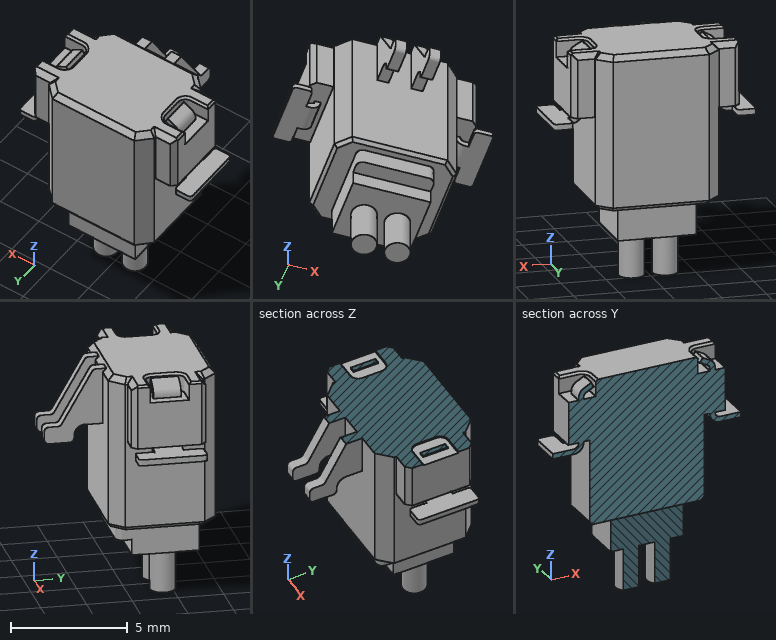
import cadquery as cq
import math


housing_width = 5.5
housing_depth = 4.7
housing_height = 6.92
corner_chamfer = 0.61
top_chamfer = 0.26
bottom_chamfer = 0.16

flange_length = 7.49
flange_depth = 3.27
flange_height = 2.86
flange_corner_chamfer = 0.24
flange_end_chamfer = 0.09

pocket_width = 1.7
pocket_depth = 0.8
pocket_inner_x = 2.44
pocket_corner_radius = 0.38
pocket_chamfer = 0.1

clip_span = 9.0
clip_thickness = 0.27
foot_bend_radius = 0.23
neck_width = 1.26
strap_bend_radius = 0.2
strap_width = 1.21
strap_outer_x = 3.27
strap_lean = 62.0
strap_bend_start_z = -0.7
strap_tip_length = 0.42
foot_length = 0.85
foot_width = 3.0
foot_corner_radius = 0.15
foot_bottom_z = -3.36

contact_pitch = 1.53
contact_width = 0.51
contact_top_z = -0.09
contact_shoulder_y = -2.76
contact_slope = 60.0
contact_underside_z = -2.59
contact_heel_y = -3.59
contact_tip_y = -4.9
contact_embed = 0.62
contact_radius = 0.2
contact_throat_radius = 0.47

plug_width = 3.48
plug_back_y = 1.73
plug_front_y = -1.23
plug_bottom_z = -8.42
ledge_front_y = -1.91
ledge_bottom_z = -7.72
ledge_radius = 0.3
wire_diameter = 1.12
wire_pitch = 1.5
wire_y = 0.32
wire_bottom_z = -10.4


def mirrored_in_x(half):
    return half.union(half.mirror("YZ"))


def make_housing_block():
    block = cq.Workplane("XY").box(
        housing_width, housing_depth, housing_height, centered=(True, True, False)
    )
    block = block.translate((0, 0, -housing_height))
    block = block.edges("|Z").chamfer(corner_chamfer)
    block = block.faces(">Z").edges().chamfer(top_chamfer)
    return block.faces("<Z").edges().chamfer(bottom_chamfer)


def make_flange():
    flange = cq.Workplane("XY").box(
        flange_length, flange_depth, flange_height, centered=(True, True, False)
    )
    flange = flange.translate((0, 0, -flange_height))
    flange = flange.edges("|Z").chamfer(flange_corner_chamfer)
    bevels = ((flange_length, flange_end_chamfer, "XZ"), (flange_depth, top_chamfer, "YZ"))
    for span, bevel, plane in bevels:
        half = span / 2
        bevel_outline = [
            (-half, -flange_height),
            (half, -flange_height),
            (half, -bevel),
            (half - bevel, 0),
            (bevel - half, 0),
            (-half, -bevel),
        ]
        prism = cq.Workplane(plane).polyline(bevel_outline).close().extrude(flange_length, both=True)
        flange = flange.intersect(prism)
    return flange


def make_pocket():
    length = flange_length / 2
    pocket = (
        cq.Workplane("XY")
        .box(length, pocket_width, pocket_depth, centered=(False, True, False))
        .translate((pocket_inner_x, 0, -pocket_depth))
        .edges("|Z and <X")
        .fillet(pocket_corner_radius)
    )
    rim_inner_x = pocket_inner_x - pocket_chamfer
    rim_top = (
        cq.Sketch()
        .rect(length, pocket_width + 2 * pocket_chamfer)
        .vertices("<X")
        .fillet(pocket_corner_radius + pocket_chamfer)
    )
    rim = (
        cq.Workplane("XY", origin=(rim_inner_x + length / 2, 0, 0))
        .placeSketch(rim_top)
        .extrude(-pocket_chamfer, taper=45)
    )
    return mirrored_in_x(pocket.union(rim))


def make_clip():
    strap_x = strap_outer_x - clip_thickness / 2
    foot_z = foot_bottom_z + clip_thickness / 2
    foot_inner_x = clip_span / 2 - foot_length

    foot_bend = foot_bend_radius + clip_thickness / 2
    neck_start_x = foot_inner_x + foot_corner_radius
    neck_path = (
        cq.Workplane("XZ")
        .moveTo(neck_start_x, foot_z)
        .lineTo(strap_x + foot_bend, foot_z)
        .radiusArc((strap_x, foot_z + foot_bend), foot_bend)
        .lineTo(strap_x, -pocket_depth)
    )
    neck_profile = cq.Workplane("YZ", origin=(neck_start_x, 0, foot_z))
    neck = neck_profile.rect(neck_width, clip_thickness).sweep(neck_path)

    strap_bend = strap_bend_radius + clip_thickness / 2
    lean = math.radians(strap_lean)
    bend_end_x = strap_x - strap_bend * (1 - math.cos(lean))
    bend_end_z = strap_bend_start_z + strap_bend * math.sin(lean)
    tip_x = bend_end_x - strap_tip_length * math.sin(lean)
    tip_z = bend_end_z + strap_tip_length * math.cos(lean)
    strap_path = (
        cq.Workplane("XZ")
        .moveTo(strap_x, -pocket_depth)
        .lineTo(strap_x, strap_bend_start_z)
        .radiusArc((bend_end_x, bend_end_z), -strap_bend)
        .lineTo(tip_x, tip_z)
    )
    strap_profile = cq.Workplane("XY", origin=(strap_x, 0, -pocket_depth))
    strap = strap_profile.rect(clip_thickness, strap_width).sweep(strap_path)

    foot = (
        cq.Workplane("XY")
        .box(foot_length, foot_width, clip_thickness, centered=(False, True, False))
        .translate((foot_inner_x, 0, foot_bottom_z))
        .edges("|Z")
        .fillet(foot_corner_radius)
    )
    return foot.union(neck).union(strap)


def make_contact(x):
    root_y = -housing_depth / 2 + contact_embed
    slope_run = (contact_top_z - contact_underside_z) / math.tan(math.radians(contact_slope))
    shoulder = (contact_shoulder_y, contact_top_z)
    tip_root = (contact_shoulder_y - slope_run, contact_underside_z)
    tip_top = (contact_tip_y, contact_underside_z)
    tip_bottom = (contact_tip_y, foot_bottom_z)
    heel = (contact_heel_y, foot_bottom_z)
    throat = (contact_heel_y, contact_underside_z)
    contact = (
        cq.Workplane("YZ", origin=(x, 0, 0))
        .polyline([
            (root_y, contact_top_z), shoulder, tip_root, tip_top, tip_bottom, heel, throat,
            (root_y, contact_underside_z),
        ])
        .close()
        .extrude(contact_width / 2, both=True)
    )
    for corner in (shoulder, tip_root, tip_top, tip_bottom, heel):
        edge = cq.selectors.NearestToPointSelector((x, *corner))
        contact = contact.edges(edge).fillet(contact_radius)
    throat_edge = cq.selectors.NearestToPointSelector((x, *throat))
    return contact.edges(throat_edge).fillet(contact_throat_radius)


def make_header():
    header = make_housing_block().union(make_flange())
    header = header.cut(make_pocket())
    header = header.union(mirrored_in_x(make_clip()))
    for side in (-1, 1):
        header = header.union(make_contact(side * contact_pitch / 2))
    return header


def make_plug():
    block_height = -housing_height - plug_bottom_z
    plug = (
        cq.Workplane("XY", origin=(0, (plug_back_y + plug_front_y) / 2, plug_bottom_z))
        .rect(plug_width, plug_back_y - plug_front_y)
        .extrude(block_height)
    )
    ledge = (
        cq.Workplane("XY", origin=(0, ledge_front_y / 2, ledge_bottom_z))
        .rect(plug_width, -ledge_front_y)
        .extrude(-housing_height - ledge_bottom_z)
        .edges("|Z and <Y")
        .fillet(ledge_radius)
    )
    wires = (
        cq.Workplane("XY", origin=(0, wire_y, wire_bottom_z))
        .pushPoints([(-wire_pitch / 2, 0), (wire_pitch / 2, 0)])
        .circle(wire_diameter / 2)
        .extrude(plug_bottom_z - wire_bottom_z)
    )
    return plug.union(ledge).union(wires)


header = make_header()
plug = make_plug()
result = cq.Compound.makeCompound([header.solids().val(), plug.solids().val()])